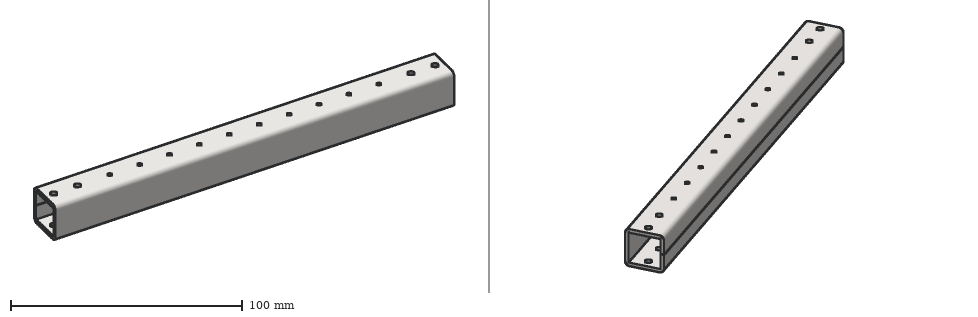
import cadquery as cq

side = 18.5
length = 200.0
wall = 1.8
corner_radius = 2.5

seam_width = 0.2

end_hole_diameter = 3.0
end_hole_margin = 4.5
end_hole_spacing = 12.0

small_hole_diameter = 2.0
small_hole_count = 10
small_hole_pitch = 15.0


def make_tube():
    outer = cq.Workplane("XY").box(side, length, side).edges("|Y").fillet(corner_radius)
    bore_side = side - 2 * wall
    bore = cq.Workplane("XY").box(bore_side, length, bore_side)
    return outer.cut(bore)


def make_seam():
    return cq.Workplane("XY").box(4 * wall, length, seam_width).translate((-side / 2, 0, 0))


def make_end_holes():
    outer_y = length / 2 - end_hole_margin
    inner_y = outer_y - end_hole_spacing
    points = [(0, sign * y) for sign in (-1, 1) for y in (inner_y, outer_y)]
    return (
        cq.Workplane("XY", origin=(0, 0, -side / 2))
        .pushPoints(points)
        .circle(end_hole_diameter / 2)
        .extrude(side)
    )


def make_small_holes():
    return (
        cq.Workplane("XY")
        .rarray(2, small_hole_pitch, 1, small_hole_count)
        .circle(small_hole_diameter / 2)
        .extrude(side / 2)
    )


result = make_tube().cut(make_seam()).cut(make_end_holes()).cut(make_small_holes())